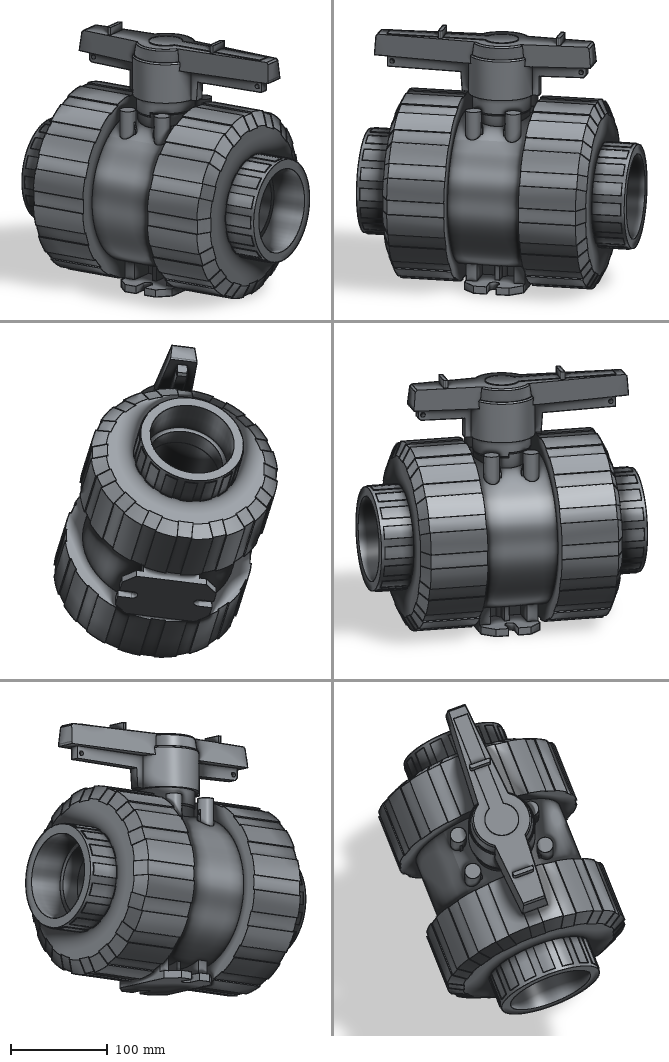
import cadquery as cq

overall_length = 283.5
bore_radius = 39.3
body_radius = 79.95

nut_radius = 98.24
nut_inner_face = 39.5
nut_outer_face = 107.5
nut_chamfer_length = 7.6
nut_face_radius = 83.9
nut_groove_count = 16
nut_groove_width = 15.3
nut_groove_depth = 1.5
nut_lip_thickness = 10

tail_radius = 54.1
socket_radius = 44.2
socket_depth = 37.5
flange_thickness = 12
grip_rib_count = 16
grip_rib_width = 13.2
grip_rib_height = 0.9
grip_rib_margin = 3.6

stem_boss_radius = 29.3
post_radius = 8.3
post_x = 21
post_y = 40
post_top = 93.2
post_rib_width = 3
post_rib_reach = 1.7
post_rib_shoulder = 73.5
post_rib_top = 81
post_side_rib_width = 3.6
post_side_rib_offset = 3.6
post_side_rib_reach = 8.7
foot_bottom = -100.2
foot_thickness = 7.8
foot_length = 62.4
foot_width = 99
foot_corner = 12.6
foot_slot_radius = 5.2
foot_slot_centre = 35
foot_leg_length = 11.6
foot_leg_width = 59.2
foot_boss_radius = 7.3
foot_rib_thickness = 5
foot_rib_width = 43.4

neck_radius = 30.4
neck_low = 87.4
neck_high = 91.2
neck_chamfer_height = 1.9
hub_radius = 34.3
hub_bottom = 103.5
hub_shoulder = 146.7
hub_shoulder_inset = 0.9
hub_shoulder_height = 1.8
cap_base_radius = 32.6
cap_top_radius = 30.7
cap_chamfer = 1.6
handle_top = 160.1
bar_end_bottom = 138.3
bar_mid_bottom = 137.1
bar_left = -96.9
bar_right = 132.2
bar_half_width = 21.1
bar_taper = 0.071
bar_side_draft = 2.7
bar_left_draft = 1.8
bar_right_draft = 1
bar_end_chamfer = 2
bar_end_step = 2.4
web_thickness = 10.2
web_left = -90.2
web_right = 120
web_end_bottom = 125.2
web_mid_bottom = 124
web_corner = 2.6
web_hub_left = -40.6
web_hub_right = 42.3
web_hub_draft = 1.5
web_hole_radius = 2.4
web_hole_inset = 5
web_hole_height = 131
pad_height = 0.8
pad_radius = 17.5
pad_arm_width = 15.4
peg_positions = (-62.5, 62.5)
peg_thickness = 4.3
peg_width = 22.4
peg_top = 168.2
peg_corner_radius = 2

half_length = overall_length / 2
nut_lip_face = nut_outer_face - nut_lip_thickness
body_half_length = nut_lip_face - flange_thickness
foot_top = foot_bottom + foot_thickness
full_turn = 360


def rod(radius, start, end):
    """Solid cylinder about the X axis between two X places."""
    return cq.Workplane("YZ").workplane(offset=start).circle(radius).extrude(end - start)


def ring(inner, outer, start, end):
    """Tube about the X axis between two X places."""
    return rod(outer, start, end).cut(rod(inner, start, end))


def block(x_min, x_max, width, z_min, z_max):
    """Box centred on the XZ plane."""
    centre_x = (x_min + x_max) / 2
    return (
        cq.Workplane("XY", origin=(centre_x, 0, z_min))
        .rect(x_max - x_min, width)
        .extrude(z_max - z_min)
    )


def column(radius, bottom, top, x=0, y=0):
    """Vertical cylinder."""
    return cq.Workplane("XY", origin=(x, y, bottom)).circle(radius).extrude(top - bottom)


def spokes(count, width, reach, start, end):
    """Even number of flat spokes about the X axis, each bar making two that reach past the radius."""
    bar = block(start, end, width, -2 * reach, 2 * reach)
    star = bar
    for index in range(1, count // 2):
        star = star.union(bar.rotate((0, 0, 0), (1, 0, 0), index * full_turn / count))
    return star


def to_side(shape, side):
    """Keep a shape at +X, or turn it about Z to the -X end."""
    return shape if side > 0 else shape.rotate((0, 0, 0), (0, 0, 1), full_turn / 2)


def nut_blank(depth):
    """Solid nut with an end cone, its outside set in by the given depth."""
    cone_start = nut_outer_face - nut_chamfer_length
    profile = [
        (nut_inner_face, 0),
        (nut_inner_face, nut_radius - depth),
        (cone_start, nut_radius - depth),
        (nut_outer_face, nut_face_radius - depth),
        (nut_outer_face, 0),
    ]
    return cq.Workplane("XY").polyline(profile).close().revolve(full_turn, (0, 0, 0), (1, 0, 0))


def make_nut(side):
    outer = nut_blank(0)
    gaps = spokes(nut_groove_count, nut_groove_width, nut_radius, nut_inner_face, nut_outer_face)
    grooves = outer.cut(nut_blank(nut_groove_depth)).intersect(gaps)
    nut = (
        outer.cut(grooves)
        .cut(rod(body_radius, nut_inner_face, nut_lip_face))
        .cut(rod(tail_radius, nut_lip_face, nut_outer_face))
    )
    return to_side(nut, side)


def make_connector(side):
    connector = ring(bore_radius, body_radius, body_half_length, nut_lip_face)
    connector = connector.union(ring(bore_radius, tail_radius, nut_lip_face, half_length))

    rib_end = half_length - grip_rib_margin
    rib_zone = ring(tail_radius - grip_rib_height, tail_radius + grip_rib_height, nut_outer_face, rib_end)
    rib_reach = tail_radius + grip_rib_height
    rib_spokes = spokes(grip_rib_count, grip_rib_width, rib_reach, nut_outer_face, rib_end)
    connector = connector.union(rib_zone.intersect(rib_spokes))

    connector = connector.cut(rod(socket_radius, half_length - socket_depth, half_length))
    return to_side(connector, side)


def raised_quarter(bottom, top):
    """Quarter at +X, -Y where the stem boss reaches up into the neck."""
    size = 2 * neck_radius
    return cq.Workplane("XY", origin=(size / 2, -size / 2, bottom)).rect(size, size).extrude(top - bottom)


def make_stem_boss():
    low_top = neck_low - neck_chamfer_height
    high_top = neck_high - neck_chamfer_height
    boss = column(stem_boss_radius, 0, low_top)
    raised = column(stem_boss_radius, 0, high_top).intersect(raised_quarter(0, high_top))
    return boss.union(raised)


def make_post(x_side, y_side):
    """Round post with a sloped rib towards the middle and a small rib on its inner side."""
    post = column(post_radius, 0, post_top, post_x, post_y)
    inner_x = post_x - post_radius
    rib_profile = [
        (post_x, 0),
        (inner_x - post_rib_reach, 0),
        (inner_x - post_rib_reach, post_rib_shoulder),
        (inner_x, post_rib_top),
        (post_x, post_rib_top),
    ]
    rib = (
        cq.Workplane("XZ", origin=(0, post_y, 0))
        .polyline(rib_profile).close()
        .extrude(post_rib_width / 2, both=True)
    )
    side_rib = (
        cq.Workplane("XY", origin=(post_x + post_side_rib_offset, post_y - post_side_rib_reach / 2, 0))
        .rect(post_side_rib_width, post_side_rib_reach)
        .extrude(post_rib_top)
    )
    post = post.union(rib).union(side_rib)
    if x_side < 0:
        post = post.mirror("YZ")
    if y_side < 0:
        post = post.mirror("XZ")
    return post


def make_foot():
    half_foot = foot_length / 2
    plate = (
        block(-half_foot, half_foot, foot_width, foot_bottom, foot_top)
        .edges("|Z").chamfer(foot_corner)
    )
    for y_side in (-1, 1):
        centre = y_side * foot_slot_centre
        plate = plate.cut(column(foot_slot_radius, foot_bottom, foot_top, 0, centre))
        slot_length = foot_width / 2 - foot_slot_centre
        slot = block(-foot_slot_radius, foot_slot_radius, slot_length, foot_bottom, foot_top)
        plate = plate.cut(slot.translate((0, centre + y_side * slot_length / 2, 0)))
    foot = plate.union(block(half_foot - foot_leg_length, half_foot, foot_leg_width, foot_top, 0))
    foot = foot.union(block(-half_foot, foot_leg_length - half_foot, foot_leg_width, foot_top, 0))
    foot = foot.union(column(foot_boss_radius, foot_top, 0))
    foot = foot.union(block(-foot_rib_thickness / 2, foot_rib_thickness / 2, foot_rib_width, foot_top, 0))
    return foot.union(block(-half_foot, half_foot, foot_rib_thickness, foot_top, 0))


def make_body():
    body = rod(body_radius, -body_half_length, body_half_length)
    body = body.union(make_stem_boss()).union(make_foot())
    for x_side in (-1, 1):
        for y_side in (-1, 1):
            body = body.union(make_post(x_side, y_side))
    return body.cut(rod(bore_radius, -body_half_length, body_half_length))


def neck_with_chamfer(lower_edge):
    """Neck whose underside narrows to the stem boss."""
    seat = lower_edge - neck_chamfer_height
    profile = [
        (0, seat),
        (stem_boss_radius, seat),
        (neck_radius, lower_edge),
        (neck_radius, hub_bottom),
        (0, hub_bottom),
    ]
    return cq.Workplane("XZ").polyline(profile).close().revolve(full_turn, (0, 0, 0), (0, 1, 0))


def make_neck():
    zone = raised_quarter(0, hub_bottom)
    low_part = neck_with_chamfer(neck_low).cut(zone)
    high_part = neck_with_chamfer(neck_high).intersect(zone)
    return low_part.union(high_part)


def make_hub():
    profile = [
        (0, hub_bottom),
        (hub_radius, hub_bottom),
        (hub_radius, hub_shoulder - hub_shoulder_height),
        (hub_radius - hub_shoulder_inset, hub_shoulder),
        (cap_base_radius, hub_shoulder),
        (cap_top_radius, handle_top - cap_chamfer),
        (cap_top_radius - cap_chamfer, handle_top),
        (0, handle_top),
    ]
    return cq.Workplane("XZ").polyline(profile).close().revolve(full_turn, (0, 0, 0), (0, 1, 0))


def bar_outline(draft):
    """Plan of the bar, widest at the turning axis, each side set in by the draft."""
    middle = bar_half_width - draft
    left = middle + bar_taper * bar_left
    right = middle - bar_taper * bar_right
    return [
        (bar_left, left), (0, middle), (bar_right, right),
        (bar_right, -right), (0, -middle), (bar_left, -left),
    ]


def make_bar():
    height = handle_top - bar_mid_bottom
    plan = (
        cq.Workplane("XY", origin=(0, 0, bar_mid_bottom))
        .polyline(bar_outline(0)).close()
        .workplane(offset=height)
        .polyline(bar_outline(bar_side_draft)).close()
        .loft(ruled=True)
    )
    top_left = bar_left + bar_left_draft
    top_right = bar_right - bar_right_draft
    profile = [
        (bar_left, bar_end_bottom + bar_end_step),
        (bar_left, bar_end_bottom),
        (0, bar_mid_bottom),
        (bar_right, bar_end_bottom),
        (bar_right, bar_end_bottom + bar_end_step),
        (top_right, handle_top - bar_end_chamfer),
        (top_right - bar_end_chamfer, handle_top),
        (top_left + bar_end_chamfer, handle_top),
        (top_left, handle_top - bar_end_chamfer),
    ]
    side = cq.Workplane("XZ").polyline(profile).close().extrude(2 * bar_half_width, both=True)
    return plan.intersect(side)


def make_web():
    """Upright plate under the bar, deeper beside the hub, with a hole at each end."""
    profile = [
        (web_left, handle_top - bar_end_chamfer),
        (web_left, web_end_bottom + web_corner),
        (web_left + web_corner, web_end_bottom),
        (web_hub_left, web_mid_bottom),
        (web_hub_left, hub_bottom),
        (web_hub_right - web_hub_draft, hub_bottom),
        (web_hub_right, web_mid_bottom),
        (web_right, web_end_bottom),
        (web_right, handle_top - bar_end_chamfer),
    ]
    web = cq.Workplane("XZ").polyline(profile).close().extrude(web_thickness / 2, both=True)
    hole_centres = [
        (web_left + web_hole_inset, web_hole_height),
        (web_right - web_hole_inset, web_hole_height),
    ]
    holes = cq.Workplane("XZ").pushPoints(hole_centres).circle(web_hole_radius)
    return web.cut(holes.extrude(web_thickness, both=True))


def make_pad():
    """Keyhole-shaped raised pad on top of the handle."""
    pad_top = handle_top + pad_height
    arm = block(0, web_right, pad_arm_width, handle_top, pad_top)
    return column(pad_radius, handle_top, pad_top).union(arm)


def make_peg(x):
    peg = block(x - peg_thickness / 2, x + peg_thickness / 2, peg_width, handle_top, peg_top)
    return peg.edges("|Z and <X").fillet(peg_corner_radius)


def make_handle():
    handle = make_bar().union(make_web()).union(make_hub()).union(make_neck()).union(make_pad())
    for x in peg_positions:
        handle = handle.union(make_peg(x))
    return handle


body = make_body()
handle = make_handle()
nuts = [make_nut(side) for side in (-1, 1)]
connectors = [make_connector(side) for side in (-1, 1)]

result = cq.Compound.makeCompound(
    [part.solids().val() for part in [body, handle, *nuts, *connectors]]
)